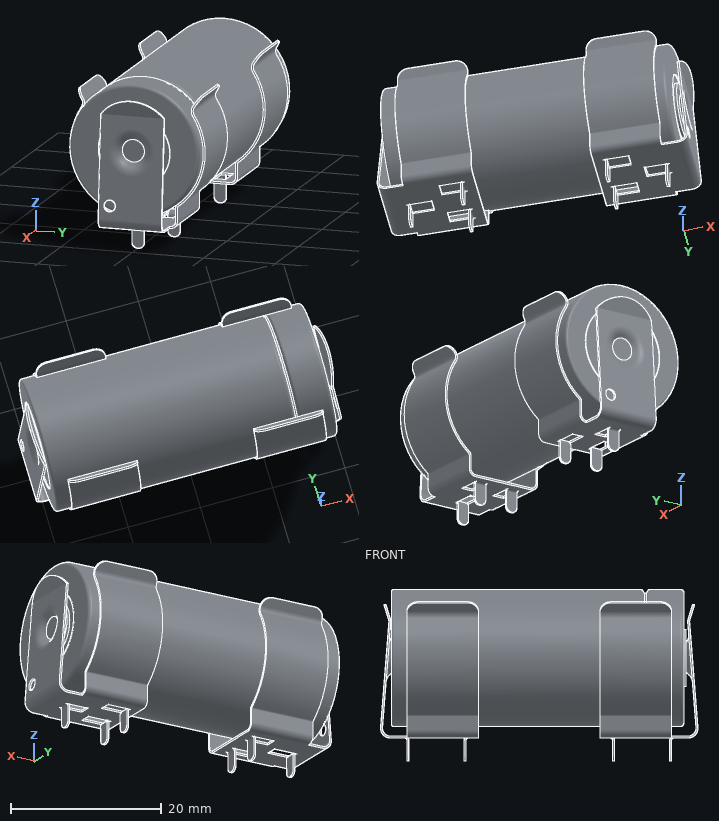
import cadquery as cq
import math

overall_height = 22.85
cell_diameter = 18.3
axis_height = (overall_height - cell_diameter) / 2
sleeve_thickness = 0.148
cell_left = -19.7
cell_right = 19.25
left_rim_radius = 0.35
right_rim_radius = 0.5
left_opening_diameter = 12.0
right_opening_diameter = 10.0

groove_x = 14.1
groove_diameter = 17.3
groove_floor_half_width = 0.13
groove_mouth_half_width = 0.42
groove_rim_radius = 0.35
edge_slack = 0.05

button_diameter = 7.6
button_height = 0.42

overall_length = 42.25
sheet = 0.275
base_underside = -8.35
cradle_width = 9.55
cradle_outer_end = 17.6
wall_half_span = 5.55
base_bend_radius = 1.0
wall_bend_radius = 0.42
cradle_top_angle = 33.0
lip_angle = 33.0
lip_bend_radius = 1.1
lip_length = 1.4
lip_corner_radius = 1.5

leaf_width = 8.87
leaf_bend_radius = 1.3
leaf_slope = 4.5
leaf_tip_slope = 17.0
neck_height = 7.2
neck_bend_radius = 0.2
leaf_top = 9.4
leaf_hole_diameter = 1.55
leaf_hole_y = 2.87
leaf_hole_z = -5.05

dimple_diameter = 6.35
dome_diameter = 3.97
dome_edge_slope = 45.0

pin_width = 1.7
pin_pitch = 2.55
pin_row_distance = 7.6
pin_bend_radius = 0.445
pin_bottom = -overall_height / 2
pin_corner_radius = 0.75

base_middle = base_underside + sheet / 2
cradle_radius = cell_diameter / 2 + sheet / 2


def bent_strip(plane, start, heading, runs, width):
    """Sheet strip whose centreline leaves `start` along `heading` (degrees).

    Each run is (length, 0) for a straight or (radius, turn) for a bend, where a
    positive turn is to the left. The strip's width is centred on the plane.
    """
    half = sheet / 2
    x, y = start
    angle = heading

    def beside(centre_x, centre_y, direction, offset):
        """Point at `offset` to the left of a centreline point."""
        turned = math.radians(direction + 90)
        return (centre_x + offset * math.cos(turned), centre_y + offset * math.sin(turned))

    left_side = [beside(x, y, angle, half)]
    right_side = [beside(x, y, angle, -half)]
    for size, turn in runs:
        if turn == 0:
            x += size * math.cos(math.radians(angle))
            y += size * math.sin(math.radians(angle))
        else:
            radius = math.copysign(size, turn)
            centre = beside(x, y, angle, radius)
            middle = beside(*centre, angle + turn / 2, -radius)
            left_side.append(beside(*middle, angle + turn / 2, half))
            right_side.append(beside(*middle, angle + turn / 2, -half))
            angle += turn
            x, y = beside(*centre, angle, -radius)
        left_side.append(beside(x, y, angle, half))
        right_side.append(beside(x, y, angle, -half))
    turns = [turn for _, turn in runs]

    def trace(outline, points, bends):
        """Follow one side of the strip from its current end."""
        remaining = iter(points)
        for bend in bends:
            if bend == 0:
                outline = outline.lineTo(*next(remaining))
            else:
                outline = outline.threePointArc(next(remaining), next(remaining))
        return outline

    outline = cq.Workplane(plane).moveTo(*right_side[0])
    outline = trace(outline, right_side[1:], turns)
    outline = outline.lineTo(*left_side[-1])
    outline = trace(outline, left_side[-2::-1], turns[::-1])
    return outline.close().extrude(width / 2, both=True)


def x_cylinder(diameter, x_from, x_to, y=0.0, z=axis_height):
    """Cylinder along X."""
    return cq.Workplane("YZ", origin=(x_from, y, z)).circle(diameter / 2).extrude(x_to - x_from)


def cell_blank(inset):
    """Solid of revolution of the cell, with every surface moved inward by `inset`."""
    radius = cell_diameter / 2 - inset
    floor_radius = groove_diameter / 2 - inset
    wall_angle = math.atan2(
        (cell_diameter - groove_diameter) / 2, groove_mouth_half_width - groove_floor_half_width
    )
    widening = inset * math.tan(wall_angle / 2)
    floor_half = groove_floor_half_width + widening
    mouth_half = groove_mouth_half_width + widening
    left = cell_left + inset
    right = cell_right - inset
    blank = (
        cq.Workplane("XZ", origin=(0, 0, axis_height))
        .polyline([
            (left, 0),
            (left, radius),
            (groove_x - mouth_half, radius),
            (groove_x - floor_half, floor_radius),
            (groove_x + floor_half, floor_radius),
            (groove_x + mouth_half, radius),
            (right, radius),
            (right, 0),
        ])
        .close()
        .revolve(360, (0, 0, 0), (1, 0, 0))
    )

    def rim(x):
        """Selector for the circular edge of full radius at one X."""
        reach = radius + edge_slack
        return cq.selectors.BoxSelector(
            (x - edge_slack, -reach, axis_height - reach),
            (x + edge_slack, reach, axis_height + reach),
        )

    blank = blank.edges(rim(left)).fillet(left_rim_radius - inset)
    blank = blank.edges(rim(right)).fillet(right_rim_radius - inset)
    for side in (-1, 1):
        blank = blank.edges(rim(groove_x + side * mouth_half)).fillet(groove_rim_radius - inset)
    return blank


def make_can():
    """Grooved can, the core of the cell."""
    return cell_blank(sleeve_thickness)


def make_sleeve():
    """Thin skin of the cell, open in the middle of both ends."""
    sleeve = cell_blank(0).cut(cell_blank(sleeve_thickness))
    sleeve = sleeve.cut(x_cylinder(left_opening_diameter, cell_left, 0))
    return sleeve.cut(x_cylinder(right_opening_diameter, 0, cell_right))


def make_button():
    """Positive contact on the right end of the can."""
    can_right = cell_right - sleeve_thickness
    return x_cylinder(button_diameter, can_right, can_right + button_height)


def make_cradle():
    """Base, two walls, the arcs that hold the cell, and the flared lips."""
    base_bend = base_bend_radius - sheet / 2
    wall_y = wall_half_span - sheet / 2
    join_reach = cradle_radius + wall_bend_radius
    join_angle = math.degrees(math.acos((wall_y + wall_bend_radius) / join_reach))
    wall_top = axis_height - join_reach * math.sin(math.radians(join_angle))
    runs = [
        (wall_y - base_bend, 0),
        (base_bend, 90),
        (wall_top - base_middle - base_bend, 0),
        (wall_bend_radius, -join_angle),
        (cradle_radius, join_angle + cradle_top_angle),
        (lip_bend_radius, -cradle_top_angle - lip_angle),
        (lip_length, 0),
    ]
    half = bent_strip("YZ", (0, base_middle), 0, runs, cradle_width)
    lean = math.radians(lip_angle)
    across_lip = cq.Vector(0, math.cos(lean), -math.sin(lean))
    half = half.edges(cq.selectors.ParallelDirSelector(across_lip)).fillet(lip_corner_radius)
    cradle = half.union(half.mirror("XZ"))
    return cradle.translate((cradle_width / 2 - cradle_outer_end, 0, 0))


def make_leaf():
    """End spring: up from the base, leaning to the cell, with a rounded tip leaning away."""
    bend = leaf_bend_radius - sheet / 2
    base_run = overall_length / 2 - leaf_bend_radius - cradle_outer_end
    slope = math.radians(leaf_slope)
    bend_top = base_middle + bend * (1 + math.sin(slope))
    leaf_run = (neck_height - bend_top) / math.cos(slope)
    tip_run = leaf_top - neck_height + leaf_bend_radius
    runs = [
        (base_run, 0),
        (bend, -90 - leaf_slope),
        (leaf_run, 0),
        (neck_bend_radius, leaf_slope + leaf_tip_slope),
        (tip_run, 0),
    ]
    leaf = bent_strip("XZ", (-cradle_outer_end, base_middle), 180, runs, leaf_width)
    half = leaf_width / 2
    face_outline = (
        cq.Workplane("YZ", origin=(-overall_length, 0, 0))
        .moveTo(-half, base_underside)
        .lineTo(half, base_underside)
        .lineTo(half, neck_height)
        .threePointArc((0, leaf_top), (-half, neck_height))
        .close()
        .extrude(overall_length)
    )
    leaf = leaf.intersect(face_outline)
    hole = x_cylinder(leaf_hole_diameter, -overall_length, cell_left, leaf_hole_y, leaf_hole_z)
    return add_dimple(leaf.cut(hole))


def add_dimple(leaf):
    """Press a dome into the leaf at the cell axis, cut off where it meets the cell."""
    slope = math.radians(leaf_slope)
    bend_centre_x = leaf_bend_radius - overall_length / 2
    bend_centre_z = base_underside + leaf_bend_radius
    face_x = (
        bend_centre_x
        - leaf_bend_radius / math.cos(slope)
        + (axis_height - bend_centre_z) * math.tan(slope)
    )
    face = cq.Plane(
        origin=(face_x, 0, axis_height),
        xDir=(0, 1, 0),
        normal=(math.cos(slope), 0, -math.sin(slope)),
    )
    rim = dimple_diameter / 2
    dome = dome_diameter / 2
    edge_slope = math.radians(dome_edge_slope)
    rim_radius = (rim - dome) / math.sin(edge_slope)
    dome_radius = dome / math.sin(edge_slope)
    rim_inside = rim_radius - sheet
    dome_inside = dome_radius + sheet
    dome_centre = (rim_radius + dome_radius) * math.cos(edge_slope) - rim_radius

    def on_rim(radius, angle):
        """Point on the rounded rim, which curves about a circle on the cell side."""
        return (rim - radius * math.sin(angle), rim_radius - radius * math.cos(angle))

    def on_dome(radius, angle):
        """Point on the spherical dome."""
        return (radius * math.sin(angle), radius * math.cos(angle) - dome_centre)

    section = cq.Plane(origin=face.origin, xDir=face.xDir, normal=face.xDir.cross(face.zDir))
    dimple = (
        cq.Workplane(section)
        .moveTo(*on_dome(dome_radius, 0))
        .threePointArc(on_dome(dome_radius, edge_slope / 2), on_dome(dome_radius, edge_slope))
        .threePointArc(on_rim(rim_radius, edge_slope / 2), (rim, 0))
        .lineTo(rim, sheet)
        .threePointArc(on_rim(rim_inside, edge_slope / 2), on_rim(rim_inside, edge_slope))
        .threePointArc(on_dome(dome_inside, edge_slope / 2), on_dome(dome_inside, 0))
        .close()
        .revolve(360, (0, 0, 0), (0, 1, 0))
    )
    opening = cq.Workplane(face).circle(rim).extrude(sheet)
    contact_x = cell_left + sleeve_thickness
    dimple = dimple.cut(x_cylinder(dimple_diameter, contact_x, 0))
    return leaf.cut(opening).union(dimple)


def add_pin(clip, x, y, direction):
    """Punch a tongue out of the base and bend it down.

    `direction` is the sign along X of the way from the hinge to the pin.
    """
    straight = base_middle - pin_bend_radius - pin_bottom
    hinge_x = x - direction * pin_bend_radius
    window_length = straight + pin_bend_radius * math.pi / 2
    heading = 0 if direction > 0 else 180
    runs = [(pin_bend_radius, -90 * direction), (straight, 0)]
    pin = bent_strip("XZ", (hinge_x, base_middle), heading, runs, pin_width)
    pin = pin.edges("|X").edges("<Z").fillet(pin_corner_radius).translate((0, y, 0))
    window = cq.Workplane("XY").box(window_length, pin_width, sheet).translate(
        (hinge_x + direction * window_length / 2, y, base_middle)
    )
    return clip.cut(window).union(pin)


def make_clip():
    """Left clip: cradle, leaf spring and three pins in one piece of sheet."""
    clip = make_cradle().union(make_leaf())
    outer_row = sheet / 2 - cradle_outer_end
    inner_row = outer_row + pin_row_distance
    clip = add_pin(clip, outer_row, 0, 1)
    for side in (-1, 1):
        clip = add_pin(clip, inner_row, side * pin_pitch, -1)
    return clip


can = make_can()
sleeve = make_sleeve()
button = make_button()
clips = [make_clip().rotate((0, 0, 0), (0, 0, 1), turn) for turn in (0, 180)]

result = cq.Compound.makeCompound(
    [can.val(), sleeve.val(), button.val(), *[clip.val() for clip in clips]]
)